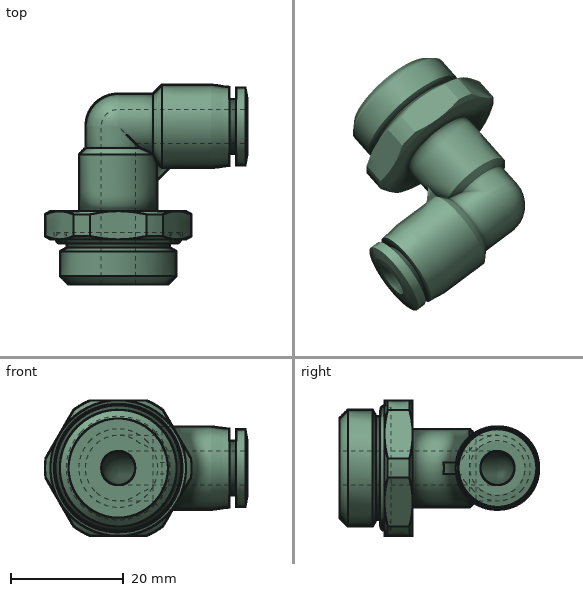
import cadquery as cq
import math


elbow_radius = 5.8
bore_radius = 3.0

stem_radius = 6.95
stem_cone_start = -3.8
stem_cone_end = stem_cone_start - (stem_radius - elbow_radius)

hex_across_flats = 24.0
hex_corner_radius = 13.0
hex_top = -15.0
hex_thickness = 5.0
hex_bottom = hex_top - hex_thickness
hex_face_radius = hex_across_flats / 2
hex_chamfer_height = (hex_corner_radius - hex_face_radius) * math.tan(math.radians(30))

neck_radius = 9.2
thread_radius = 10.35
thread_top_chamfer_start = -21.45
thread_top_chamfer_end = -22.1
thread_end = -28.0
thread_end_chamfer = 1.55

ring_tube_radius = 0.97
ring_centre_radius = neck_radius + ring_tube_radius
ring_protrusion = 0.75
ring_centre_y = hex_bottom - ring_protrusion + ring_tube_radius
recess_radius = 11.38
recess_floor = ring_centre_y + ring_tube_radius

sleeve_radius = 7.4
sleeve_cone_start = 6.15
sleeve_cone_end = sleeve_cone_start + sleeve_radius - elbow_radius
sleeve_taper_start = 16.45
sleeve_taper_middle = 17.5
sleeve_taper_end = 18.52
sleeve_taper_middle_radius = 7.3
sleeve_taper_end_radius = 7.1
sleeve_end = 19.65
sleeve_end_radius = 7.0
collar_neck_radius = 4.88
collar_radius = 6.9
collar_start = 20.9
collar_rim_end = 22.5
collar_end = 22.9
collar_face_radius = 4.75

gusset_thickness = 2.0
gusset_diagonal_sum = 16.45


def turned_about_y(profile):
    return profile.close().revolve(360, (0, 0, 0), (0, 1, 0))


def turned_about_x(profile):
    return profile.close().revolve(360, (0, 0, 0), (1, 0, 0))


def make_stem():
    profile = (
        cq.Workplane("XY")
        .moveTo(0, 0)
        .lineTo(elbow_radius, 0)
        .lineTo(elbow_radius, stem_cone_start)
        .lineTo(stem_radius, stem_cone_end)
        .lineTo(stem_radius, hex_top)
        .lineTo(neck_radius, hex_top)
        .lineTo(neck_radius, thread_top_chamfer_start)
        .lineTo(thread_radius, thread_top_chamfer_end)
        .lineTo(thread_radius, thread_end + thread_end_chamfer)
        .lineTo(thread_radius - thread_end_chamfer, thread_end)
        .lineTo(0, thread_end)
    )
    return turned_about_y(profile)


def make_hexagon():
    across_corners = hex_across_flats / math.cos(math.radians(30))
    prism = (
        cq.Workplane("XZ", origin=(0, hex_top, 0))
        .polygon(6, across_corners)
        .extrude(hex_thickness)
    )
    chamfered_disc = turned_about_y(
        cq.Workplane("XY")
        .moveTo(0, hex_top)
        .lineTo(hex_face_radius, hex_top)
        .lineTo(hex_corner_radius, hex_top - hex_chamfer_height)
        .lineTo(hex_corner_radius, hex_bottom + hex_chamfer_height)
        .lineTo(hex_face_radius, hex_bottom)
        .lineTo(0, hex_bottom)
    )
    recess = (
        cq.Workplane("XZ", origin=(0, recess_floor, 0))
        .circle(recess_radius)
        .circle(neck_radius)
        .extrude(recess_floor - hex_bottom)
    )
    return prism.intersect(chamfered_disc).cut(recess)


def make_arm():
    profile = (
        cq.Workplane("XY")
        .moveTo(0, 0)
        .lineTo(0, elbow_radius)
        .lineTo(sleeve_cone_start, elbow_radius)
        .lineTo(sleeve_cone_end, sleeve_radius)
        .lineTo(sleeve_taper_start, sleeve_radius)
        .threePointArc(
            (sleeve_taper_middle, sleeve_taper_middle_radius),
            (sleeve_taper_end, sleeve_taper_end_radius),
        )
        .lineTo(sleeve_end, sleeve_end_radius)
        .lineTo(sleeve_end, collar_neck_radius)
        .lineTo(collar_start, collar_neck_radius)
        .lineTo(collar_start, collar_radius)
        .lineTo(collar_rim_end, collar_radius)
        .lineTo(collar_end, collar_face_radius)
        .lineTo(collar_end, 0)
    )
    return turned_about_x(profile)


def make_gusset():
    return (
        cq.Workplane("XY")
        .moveTo(0, 0)
        .lineTo(gusset_diagonal_sum, 0)
        .lineTo(0, -gusset_diagonal_sum)
        .close()
        .extrude(gusset_thickness / 2, both=True)
        .intersect(
            cq.Workplane("XY").box(
                2 * (gusset_diagonal_sum - elbow_radius),
                2 * (gusset_diagonal_sum - elbow_radius),
                gusset_thickness,
            )
        )
    )


def make_bore():
    """Right-angled passage with a spherical corner, open at both ends."""
    stem_bore = cq.Workplane("XZ").circle(bore_radius).extrude(-thread_end)
    arm_bore = cq.Workplane("YZ").circle(bore_radius).extrude(collar_end)
    corner = cq.Workplane("XY").sphere(bore_radius)
    return stem_bore.union(arm_bore).union(corner)


def make_fitting():
    elbow_corner = cq.Workplane("XY").sphere(elbow_radius)
    return (
        make_stem()
        .union(make_arm())
        .union(elbow_corner)
        .union(make_gusset())
        .union(make_hexagon())
        .cut(make_bore())
    )


def make_sealing_ring():
    section = cq.Workplane("XY").center(ring_centre_radius, ring_centre_y).circle(ring_tube_radius)
    return section.revolve(360, (-ring_centre_radius, 0, 0), (-ring_centre_radius, 1, 0))


fitting = make_fitting()
sealing_ring = make_sealing_ring()
result = cq.Compound.makeCompound([fitting.val(), sealing_ring.val()])